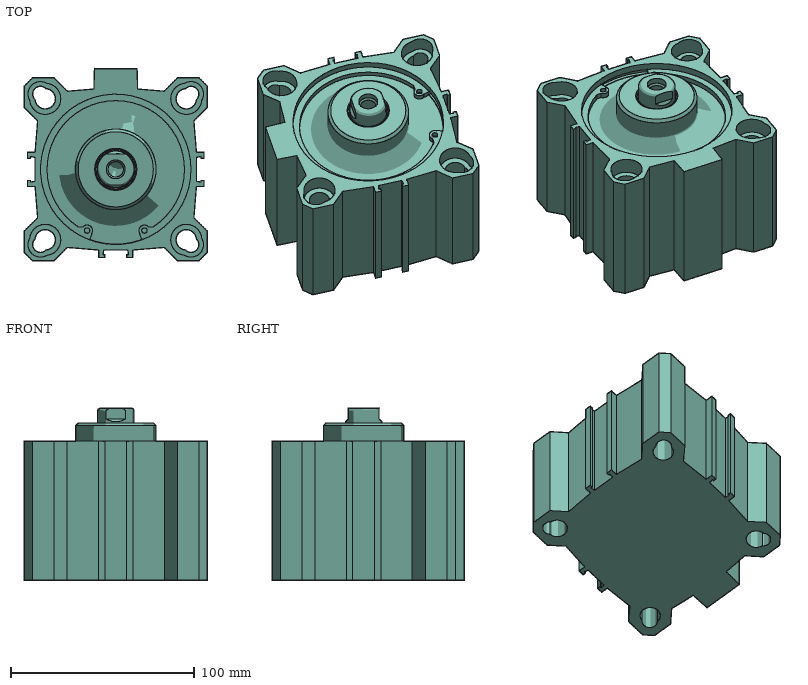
import cadquery as cq
import math

housing_height = 76.0
half_width = 50.0
post_chamfer = 4.6
post_shoulder = 33.7
wall_end = (26.5, 42.7)
wall_out = 44.1
rail_outer = 9.4
rail_lip_inner = 6.0
rail_web_root = 6.5
rail_web_tip = 6.9
rail_out = 48.2
rail_lip_thickness = 1.7
block_out = 55.0
block_half_root = 12.0
block_half_tip = 11.7

bolt_offset = 38.5
bolt_diameter = 11.0
bolt_bore_diameter = 17.0
relief_offset = 41.1
relief_diameter = 8.38
relief_bore_diameter = 13.6
bolt_bore_depth = 9.0

bore_diameter = 82.1
bore_floor = 50.0

cover_diameter = 81.7
cover_rim_top = 69.2
cone_foot_diameter = 62.0
cone_top = 74.0
boss_diameter = 44.0
boss_top = housing_height + 10.0
boss_chamfer = 1.5
cone_fillet = 0.7
rod_hole_mouth_diameter = 23.0
rod_hole_lip_diameter = 21.9
rod_hole_lip_depth = 1.0
rod_recess_diameter = 20.6
rod_recess_depth = 2.0

ring_outer_diameter = 85.6
ring_inner_diameter = 75.0
ring_thickness = 2.9
ring_gap_half_angle = 20.3
lug_x = 15.65
lug_y = -33.4
lug_radius = 3.0
lug_hole_diameter = 3.0
lug_shoulder_y = -31.5

rod_diameter = 20.0
rod_top = boss_top + 8.0
rod_rounding = 1.65
flat_width = 17.0
flat_height = 5.9
rod_socket_diameter = 10.25
rod_socket_depth = 3.3
rod_thread_diameter = 8.38
rod_thread_depth = 20.0
drill_point_angle = 118.0


def cylinder(diameter, bottom, top):
    return cq.Workplane("XY").workplane(offset=bottom).circle(diameter / 2).extrude(top - bottom)


def rail(side):
    """Hooked sensor rail on the +Y wall; side is -1 or +1 for its place in X."""
    lip_root = rail_out - rail_lip_thickness
    wall_inside = wall_end[1]
    points = [
        (rail_outer, wall_inside),
        (rail_outer, rail_out),
        (rail_lip_inner, rail_out),
        (rail_lip_inner, lip_root),
        (rail_web_tip, lip_root),
        (rail_web_root, wall_out),
        (rail_web_root, wall_inside),
    ]
    outline = [(side * x, y) for x, y in points]
    return cq.Workplane("XY").polyline(outline).close().extrude(housing_height)


def quarter_turn(point, quarters):
    x, y = point
    for _ in range(quarters):
        x, y = -y, x
    return (x, y)


def housing_profile():
    """Square with corner posts: the +Y side repeated by quarter turns."""
    post_edge = half_width - post_chamfer
    half_side = [(rail_outer, wall_out), wall_end, (post_shoulder, half_width), (post_edge, half_width)]
    side = half_side[::-1] + [(-x, y) for x, y in half_side]
    outline = [quarter_turn(point, quarters) for quarters in range(4) for point in side]
    return cq.Workplane("XY").polyline(outline).close().extrude(housing_height)


def port_block():
    inside = wall_end[1]
    outline = [
        (block_half_root, inside),
        (block_half_root, wall_out),
        (block_half_tip, block_out),
        (-block_half_tip, block_out),
        (-block_half_root, wall_out),
        (-block_half_root, inside),
    ]
    return cq.Workplane("XY").polyline(outline).close().extrude(housing_height)


def corner_hole(x_side, y_side):
    """Through hole and counterbore, each two overlapping circles along the diagonal."""
    bore_bottom = housing_height - bolt_bore_depth
    cylinders = [
        (bolt_offset, bolt_diameter, 0),
        (relief_offset, relief_diameter, 0),
        (bolt_offset, bolt_bore_diameter, bore_bottom),
        (relief_offset, relief_bore_diameter, bore_bottom),
    ]
    hole = cq.Workplane("XY")
    for offset, diameter, bottom in cylinders:
        place = (x_side * offset, y_side * offset, 0)
        hole = hole.union(cylinder(diameter, bottom, housing_height).translate(place))
    return hole


housing = housing_profile().union(port_block())
for wall_angle in (90, 180, 270):
    for side in (-1, 1):
        housing = housing.union(rail(side).rotate((0, 0, 0), (0, 0, 1), wall_angle))
for x_side in (-1, 1):
    for y_side in (-1, 1):
        housing = housing.cut(corner_hole(x_side, y_side))
ring_top = cover_rim_top + ring_thickness
housing = housing.cut(cylinder(bore_diameter, bore_floor, housing_height))
housing = housing.cut(cylinder(ring_outer_diameter, cover_rim_top, ring_top))

boss_radius = boss_diameter / 2
mouth_chamfer = (rod_hole_mouth_diameter - rod_hole_lip_diameter) / 2
lip_floor = boss_top - rod_hole_lip_depth
cover_section = [
    (rod_diameter / 2, bore_floor),
    (cover_diameter / 2, bore_floor),
    (cover_diameter / 2, cover_rim_top),
    (cone_foot_diameter / 2, cover_rim_top),
    (boss_radius, cone_top),
    (boss_radius, boss_top - boss_chamfer),
    (boss_radius - boss_chamfer, boss_top),
    (rod_hole_mouth_diameter / 2, boss_top),
    (rod_hole_lip_diameter / 2, boss_top - mouth_chamfer),
    (rod_hole_lip_diameter / 2, lip_floor),
    (rod_recess_diameter / 2, lip_floor),
    (rod_recess_diameter / 2, boss_top - rod_recess_depth),
    (rod_diameter / 2, boss_top - rod_recess_depth),
]
cover = cq.Workplane("XZ").polyline(cover_section).close().revolve(360, (0, 0, 0), (0, 1, 0))


def circle_edge(diameter, z):
    """Selector for circular edges around Z, at height z, that are no larger than the diameter."""
    margin = 0.1
    reach = diameter / 2 + margin
    return cq.selectors.BoxSelector(
        (-reach, -reach, z - margin), (reach, reach, z + margin), boundingbox=True
    )


cover = cover.edges(circle_edge(boss_diameter, cone_top)).fillet(cone_fillet)
cover = cover.edges(circle_edge(cone_foot_diameter, cover_rim_top)).fillet(cone_fillet)


def ring_layer():
    return cq.Workplane("XY").workplane(offset=cover_rim_top)


def ring_lug(side):
    """Eye at one end of the ring, with its shoulder running out to the ring's inner edge."""
    inner_radius = ring_inner_diameter / 2
    shoulder_x = math.sqrt(inner_radius**2 - lug_shoulder_y**2)
    outline = [
        (side * lug_x, lug_shoulder_y),
        (side * shoulder_x, lug_shoulder_y),
        (side * shoulder_x, lug_y),
        (side * lug_x, -inner_radius),
    ]
    shoulder = ring_layer().polyline(outline).close().extrude(ring_thickness)
    eye = ring_layer().center(side * lug_x, lug_y).circle(lug_radius).extrude(ring_thickness)
    return shoulder.union(eye)


gap_reach = ring_outer_diameter
gap_half_width = gap_reach * math.tan(math.radians(ring_gap_half_angle))
gap_outline = [(0, 0), (gap_half_width, -gap_reach), (-gap_half_width, -gap_reach)]
gap = ring_layer().polyline(gap_outline).close().extrude(ring_thickness)

ring = ring_layer().circle(ring_outer_diameter / 2).circle(ring_inner_diameter / 2).extrude(ring_thickness)
ring = ring.cut(gap)
for side in (-1, 1):
    ring = ring.union(ring_lug(side))
lug_holes = ring_layer().pushPoints([(-lug_x, lug_y), (lug_x, lug_y)])
ring = ring.cut(lug_holes.circle(lug_hole_diameter / 2).extrude(ring_thickness))


def wrench_flat(side):
    """Material removed for one flat; its foot runs out to the rod surface at 45 degrees."""
    flat_y = flat_width / 2
    foot = rod_top - flat_height
    runout = rod_diameter / 2
    outline = [
        (side * flat_y, rod_top),
        (side * flat_y, foot),
        (side * (flat_y + runout), foot - runout),
        (side * (flat_y + runout), rod_top),
    ]
    return cq.Workplane("YZ").polyline(outline).close().extrude(rod_diameter, both=True)


def rod_bore():
    """Plain socket, 45-degree step down to the thread bore, and a drill point."""
    socket_radius = rod_socket_diameter / 2
    thread_radius = rod_thread_diameter / 2
    step = rod_top - rod_socket_depth
    bottom = rod_top - rod_thread_depth
    point_length = thread_radius / math.tan(math.radians(drill_point_angle / 2))
    section = [
        (0, rod_top),
        (socket_radius, rod_top),
        (socket_radius, step),
        (thread_radius, step - (socket_radius - thread_radius)),
        (thread_radius, bottom),
        (0, bottom - point_length),
    ]
    return cq.Workplane("XZ").polyline(section).close().revolve(360, (0, 0, 0), (0, 1, 0))


rod = cylinder(rod_diameter, bore_floor, rod_top).faces(">Z").edges().fillet(rod_rounding)
for side in (-1, 1):
    rod = rod.cut(wrench_flat(side))
rod = rod.cut(rod_bore())

result = cq.Compound.makeCompound([housing.val(), cover.val(), ring.val(), rod.val()])